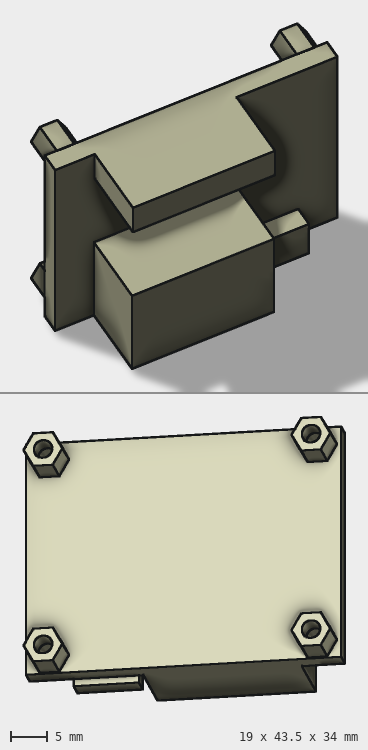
import cadquery as cq
import math

board_thickness = 3.0
board_length = 43.5
board_height = 33.0
board_bottom = -board_height / 2
board_top = board_height / 2

standoff_length = 5.0
standoff_across_corners = 5.4
standoff_spacing_y = 36.98
standoff_spacing_z = 28.0
hole_diameter = 2.52
hole_depth = 3.5
drill_point_angle = 118.0

block_depth = 11.0
block_length = 21.9
upper_block_start_y = -15.65
upper_block_height = 5.0
lower_block_start_y = -15.8
lower_block_height = 15.0

connector_depth = 3.1
connector_length = 9.0
connector_start_y = 6.7
connector_height = 6.0
connector_overhang = 1.0


def front_block(depth, length, height, start_y, bottom_z):
    """Box seated on the front face of the board."""
    box = cq.Workplane("XY").box(depth, length, height, centered=False)
    return box.translate((board_thickness, start_y, bottom_z))


def standoff():
    """Hexagonal post along X with a drilled blind hole in its free end at X = -standoff_length."""
    post = cq.Workplane("YZ").polygon(6, standoff_across_corners).extrude(-standoff_length)
    radius = hole_diameter / 2
    point_length = radius / math.tan(math.radians(drill_point_angle / 2))
    mouth_x = -standoff_length
    shoulder_x = mouth_x + hole_depth
    drill = (
        cq.Workplane("XY")
        .moveTo(mouth_x, 0)
        .lineTo(mouth_x, radius)
        .lineTo(shoulder_x, radius)
        .lineTo(shoulder_x + point_length, 0)
        .close()
        .revolve(360, (0, 0, 0), (1, 0, 0))
    )
    return post.cut(drill)


board = cq.Workplane("XY").box(
    board_thickness, board_length, board_height, centered=(False, True, True)
)

upper_block = front_block(
    block_depth, block_length, upper_block_height,
    upper_block_start_y, board_top - upper_block_height,
)
lower_block = front_block(
    block_depth, block_length, lower_block_height, lower_block_start_y, board_bottom
)
connector = front_block(
    connector_depth, connector_length, connector_height,
    connector_start_y, board_bottom - connector_overhang,
)

result = board.union(upper_block).union(lower_block).union(connector)

for side_y in (-1, 1):
    for side_z in (-1, 1):
        corner = (0, side_y * standoff_spacing_y / 2, side_z * standoff_spacing_z / 2)
        result = result.union(standoff().translate(corner))